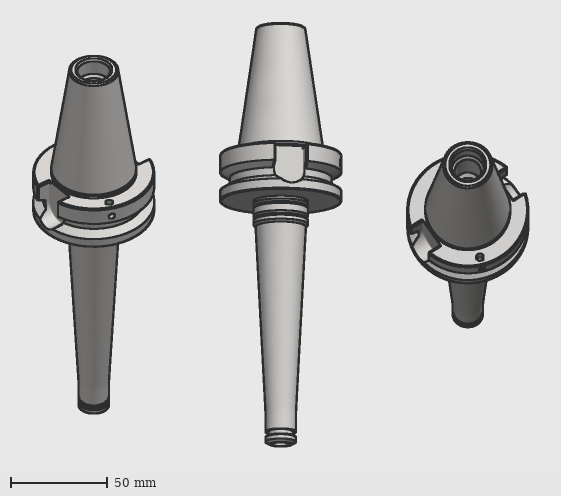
import cadquery as cq
import math


taper_length = 65.4
gauge_diameter = 44.45
taper_ratio = 7 / 24
small_end_chamfer_width = 1.1
small_end_chamfer_height = 0.8
gauge_land_top = 0.4
relief_bottom = -0.9
relief_radius = 21.8

flange_diameter = 63.0
flange_top = -2.0
flange_bottom = -27.0
flange_top_chamfer = 0.7
flange_bottom_chamfer = 0.5
groove_center = -16.6
groove_root_diameter = 53.0
groove_half_width = 5.0
groove_flank_angle = 30.0

slot_width = 16.1
slot_floor_distance = 22.6
slot_bottom = -23.6
slot_edge_chamfer = 0.8
slot_floor_fillet = 0.5

collar_diameter = 28.5
collar_bottom = -40.5
collar_chamfer_height = 1.3
ring_groove_centers = (-29.6, -35.9)
ring_groove_half_width = 1.2
ring_groove_depth = 0.9

neck_half_angle = 3.0
neck_end = -139.0
nose_diameter = 16.0
nose_tip = -156.0
nose_tip_chamfer_width = 2.2
nose_tip_chamfer_height = 1.3
nose_groove_diameter = 13.0
nose_groove_top = -149.3
nose_groove_bottom = -151.9
nose_groove_chamfer = 0.5

counterbore_diameter = 17.0
counterbore_depth = 9.3
mouth_chamfer = 1.1
thread_core_diameter = 13.84
thread_core_depth = 30.0
through_diameter = 9.0
drill_half_angle = 59.0
entry_half_angle = 45.0

hole_direction = 160.0
axial_hole_diameter = 3.9
axial_hole_distance = 26.8
radial_hole_diameter = 3.24
radial_hole_height = -7.6

tolerance = 0.01

flange_radius = flange_diameter / 2
root_radius = groove_root_diameter / 2
nose_radius = nose_diameter / 2
collar_radius = collar_diameter / 2

groove_flank_height = (flange_radius - root_radius) * math.tan(math.radians(groove_flank_angle))
groove_root_top = groove_center + groove_half_width - groove_flank_height
groove_root_bottom = groove_center - groove_half_width + groove_flank_height


def taper_radius(z):
    return (gauge_diameter - z * taper_ratio) / 2


def revolve(points):
    """Turn an outline of (radius, z) points about the Z axis."""
    return cq.Workplane("XZ").polyline(points).close().revolve(360, (0, 0), (0, 1))


def make_body():
    end_radius = taper_radius(taper_length - small_end_chamfer_height)
    neck_length = collar_bottom - neck_end
    neck_top_radius = nose_radius + neck_length * math.tan(math.radians(neck_half_angle))
    shank = [
        (0, taper_length),
        (end_radius - small_end_chamfer_width, taper_length),
        (end_radius, taper_length - small_end_chamfer_height),
        (taper_radius(gauge_land_top), gauge_land_top),
        (relief_radius, relief_bottom),
        (gauge_diameter / 2, flange_top),
    ]
    flange = [
        (flange_radius - flange_top_chamfer, flange_top),
        (flange_radius, flange_top - flange_top_chamfer),
        (flange_radius, groove_center + groove_half_width),
        (root_radius, groove_root_top),
        (root_radius, groove_root_bottom),
        (flange_radius, groove_center - groove_half_width),
        (flange_radius, flange_bottom + flange_bottom_chamfer),
        (flange_radius - flange_bottom_chamfer, flange_bottom),
    ]
    neck = [
        (collar_radius, flange_bottom),
        (collar_radius, collar_bottom + collar_chamfer_height),
        (neck_top_radius, collar_bottom),
        (nose_radius, neck_end),
    ]
    nose_groove_root = nose_groove_diameter / 2
    nose = [
        (nose_radius, nose_groove_top),
        (nose_groove_root, nose_groove_top),
        (nose_groove_root, nose_groove_bottom),
        (nose_radius - nose_groove_chamfer, nose_groove_bottom),
        (nose_radius, nose_groove_bottom - nose_groove_chamfer),
        (nose_radius, nose_tip + nose_tip_chamfer_height),
        (nose_radius - nose_tip_chamfer_width, nose_tip),
        (0, nose_tip),
    ]
    return revolve(shank + flange + neck + nose)


def make_bore():
    counterbore_radius = counterbore_diameter / 2
    core_radius = thread_core_diameter / 2
    through_radius = through_diameter / 2
    counterbore_floor = taper_length - counterbore_depth
    entry_height = (counterbore_radius - core_radius) / math.tan(math.radians(entry_half_angle))
    core_floor = taper_length - thread_core_depth
    drill_point_height = (core_radius - through_radius) / math.tan(math.radians(drill_half_angle))
    return revolve([
        (0, taper_length),
        (counterbore_radius + mouth_chamfer, taper_length),
        (counterbore_radius, taper_length - mouth_chamfer),
        (counterbore_radius, counterbore_floor),
        (core_radius, counterbore_floor - entry_height),
        (core_radius, core_floor),
        (through_radius, core_floor - drill_point_height),
        (through_radius, nose_tip),
        (0, nose_tip),
    ])


def make_ring_groove(z):
    """V-shaped groove around the collar."""
    return revolve([
        (collar_radius, z + ring_groove_half_width),
        (collar_radius - ring_groove_depth, z),
        (collar_radius, z - ring_groove_half_width),
    ])


def make_drive_slot():
    """Round-bottomed slot with a flat floor, at the +Y end of the flange."""
    half_width = slot_width / 2
    arc_center = slot_bottom + half_width
    return (
        cq.Workplane("XZ")
        .moveTo(-half_width, flange_top)
        .lineTo(-half_width, arc_center)
        .threePointArc((0, slot_bottom), (half_width, arc_center))
        .lineTo(half_width, flange_top)
        .close()
        .extrude(-flange_radius)
        .translate((0, slot_floor_distance, 0))
    )


def is_within_slot_width(box):
    return max(abs(box.xmin), abs(box.xmax)) < slot_width / 2 + tolerance


def is_upper_slot_rim(edge):
    """True for the edges where a drive slot's wall opens to the outside, above the groove root."""
    box = edge.BoundingBox()
    above_groove_root = box.zmin > groove_root_top - tolerance
    below_flange_top = box.zmax < flange_top + tolerance
    beyond_floor = max(abs(box.ymin), abs(box.ymax)) > slot_floor_distance + tolerance
    return is_within_slot_width(box) and above_groove_root and below_flange_top and beyond_floor


def is_slot_floor_side(edge):
    """True for the edges where a drive slot's floor meets its wall, not for the floor's top edge."""
    box = edge.BoundingBox()
    in_floor_plane = box.ylen < tolerance and abs(abs(box.center.y) - slot_floor_distance) < tolerance
    is_level = box.zlen < tolerance
    return is_within_slot_width(box) and in_floor_plane and not is_level


def cut_drive_slots(body):
    """Cut both drive slots, chamfer their upper edges and round the corners of their floors."""
    slot = make_drive_slot()
    body = body.cut(slot).cut(slot.rotate((0, 0, 0), (0, 0, 1), 180))
    rim = [edge for edge in body.edges().vals() if is_upper_slot_rim(edge)]
    body = body.newObject(rim).chamfer(slot_edge_chamfer)
    floor_edges = [edge for edge in body.edges().vals() if is_slot_floor_side(edge)]
    return body.newObject(floor_edges).fillet(slot_floor_fillet)


def make_flange_holes(direction):
    """A radial hole from the rim meeting an axial hole from the top of the flange."""
    axial = (
        cq.Workplane("XY", origin=(0, 0, flange_top))
        .center(axial_hole_distance, 0)
        .circle(axial_hole_diameter / 2)
        .extrude(radial_hole_height - flange_top)
    )
    radial = (
        cq.Workplane("YZ", origin=(axial_hole_distance, 0, radial_hole_height))
        .circle(radial_hole_diameter / 2)
        .extrude(flange_radius - axial_hole_distance)
    )
    return axial.union(radial).rotate((0, 0, 0), (0, 0, 1), direction)


result = make_body().cut(make_bore())
for groove_z in ring_groove_centers:
    result = result.cut(make_ring_groove(groove_z))
result = cut_drive_slots(result)
for turn in (0, 180):
    result = result.cut(make_flange_holes(hole_direction + turn))